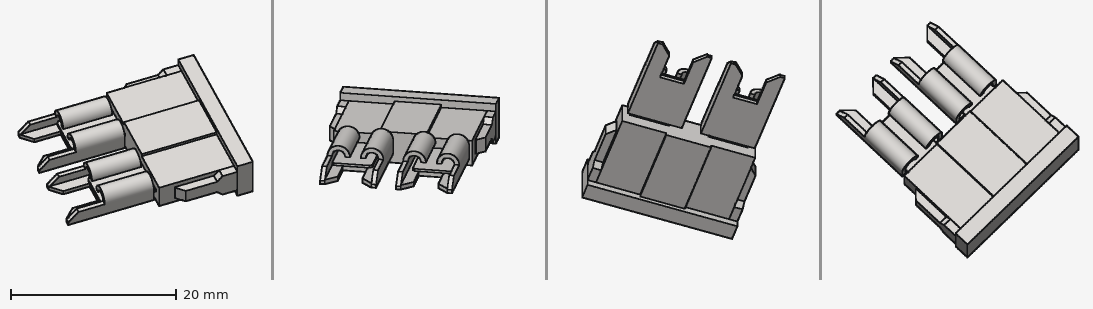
import cadquery as cq


FLANGE_WIDTH = 19.2
FLANGE_HEIGHT = 5.2
FLANGE_DEPTH = 2.03
BODY_WIDTH = 17.03
BODY_HEIGHT = 3.25
BODY_DEPTH = 9.77
BAND_WIDTH = 5.75
BAND_HEIGHT = 4

LATCH_WIDTH = (FLANGE_WIDTH - BODY_WIDTH) / 2
LATCH_LENGTH = 7.72
LATCH_ROOT_LENGTH = 1.93
LATCH_ARM_HEIGHT = 1.84
LATCH_BEVEL = (BODY_HEIGHT - LATCH_ARM_HEIGHT) / 2
LATCH_TIP_WIDTH = 0.1
LATCH_CHAMFER = LATCH_WIDTH - LATCH_TIP_WIDTH

OVERALL_LENGTH = 23.55
TERMINAL_GAP = 0.6
TERMINAL_WIDTH = 6.9
TERMINAL_X = (-4.55, 4.8)
SHEET = 0.6
WALL_HEIGHT = 1.8
CURL_RADIUS = 1.4
CURL_LENGTH = 6.38
PRONG_WIDTH = 1.93
PRONG_CHAMFER = PRONG_WIDTH - SHEET

TERMINAL_BACK_Y = -(BODY_DEPTH + TERMINAL_GAP)
TERMINAL_TIP_Y = FLANGE_DEPTH - OVERALL_LENGTH
CURL_END_Y = TERMINAL_BACK_Y - CURL_LENGTH
WALL_TOP_Z = FLANGE_HEIGHT / 2 - CURL_RADIUS
TERMINAL_BOTTOM_Z = WALL_TOP_Z - WALL_HEIGHT

BLADE_SPACING = 10.03
BLADE_X = (-BLADE_SPACING / 2, BLADE_SPACING / 2)
BLADE_WIDTH = 5.05
BLADE_THICKNESS = 0.3
BLADE_CHAMFER = 0.3


def block(x_range, y_range, z_range):
    """Box between the given limits on each axis."""
    sizes = [high - low for low, high in (x_range, y_range, z_range)]
    corner = (x_range[0], y_range[0], z_range[0])
    return cq.Workplane("XY").box(*sizes, centered=False).translate(corner)


def centred(size):
    """Limits of a length centred on zero."""
    return (-size / 2, size / 2)


def make_housing():
    """Flange with a solid body whose middle band is raised above and below."""
    flange = block(centred(FLANGE_WIDTH), (0, FLANGE_DEPTH), centred(FLANGE_HEIGHT))
    body = block(centred(BODY_WIDTH), (-BODY_DEPTH, 0), centred(BODY_HEIGHT))
    band = block(centred(BAND_WIDTH), (-BODY_DEPTH, 0), centred(BAND_HEIGHT))
    return flange.union(body).union(band)


def make_latch(side):
    """Latch arm with a tall root and a chamfered tip; side is -1 or +1 along X."""
    arm_start = LATCH_ROOT_LENGTH + LATCH_BEVEL
    half_root = BODY_HEIGHT / 2
    half_arm = LATCH_ARM_HEIGHT / 2
    inner_x = BODY_WIDTH / 2
    outer_x = FLANGE_WIDTH / 2
    upper_edge = [
        (0, half_root),
        (-LATCH_ROOT_LENGTH, half_root),
        (-arm_start, half_arm),
        (-LATCH_LENGTH, half_arm),
    ]
    lower_edge = [(y, -z) for y, z in reversed(upper_edge)]
    latch = (
        cq.Workplane("YZ", origin=(inner_x, 0, 0))
        .polyline(upper_edge + lower_edge)
        .close()
        .extrude(LATCH_WIDTH)
    )
    tip_waste = (
        cq.Workplane("XY", origin=(0, 0, -half_root))
        .polyline([
            (outer_x, -LATCH_LENGTH),
            (outer_x, -LATCH_LENGTH + LATCH_CHAMFER),
            (outer_x - LATCH_CHAMFER, -LATCH_LENGTH),
        ])
        .close()
        .extrude(BODY_HEIGHT)
    )
    latch = latch.cut(tip_waste)
    return latch if side > 0 else latch.mirror("YZ")


def make_blade(center_x):
    """Flat contact blade with its two front corners chamfered, lying on the terminal floor."""
    floor_top = TERMINAL_BOTTOM_Z + SHEET
    blade = block(
        (center_x - BLADE_WIDTH / 2, center_x + BLADE_WIDTH / 2),
        (CURL_END_Y, -BODY_DEPTH),
        (floor_top, floor_top + BLADE_THICKNESS),
    )
    return blade.faces("<Y").edges("|Z").chamfer(BLADE_CHAMFER)


def make_terminal_floor():
    """Floor between the walls, splitting into two prongs with chamfered tips, centred on X."""
    prong_x = TERMINAL_WIDTH / 2 - PRONG_WIDTH
    wall_x = TERMINAL_WIDTH / 2 - SHEET
    right_edge = [
        (prong_x, CURL_END_Y),
        (prong_x, TERMINAL_TIP_Y + PRONG_CHAMFER),
        (wall_x, TERMINAL_TIP_Y),
        (wall_x, TERMINAL_BACK_Y),
    ]
    left_edge = [(-x, y) for x, y in reversed(right_edge)]
    return (
        cq.Workplane("XY", origin=(0, 0, TERMINAL_BOTTOM_Z))
        .polyline(right_edge + left_edge)
        .close()
        .extrude(SHEET)
    )


def make_terminal_wall():
    """Wall along the -X side of the floor, sloping down at the prong tip."""
    return (
        cq.Workplane("YZ", origin=(-TERMINAL_WIDTH / 2, 0, 0))
        .polyline([
            (TERMINAL_BACK_Y, TERMINAL_BOTTOM_Z),
            (TERMINAL_BACK_Y, WALL_TOP_Z),
            (TERMINAL_TIP_Y + PRONG_CHAMFER, WALL_TOP_Z),
            (TERMINAL_TIP_Y, WALL_TOP_Z - PRONG_CHAMFER),
            (TERMINAL_TIP_Y, TERMINAL_BOTTOM_Z),
        ])
        .close()
        .extrude(SHEET)
    )


def make_curl():
    """Half-round curl that continues the -X wall upward and inward."""
    outer_x = -TERMINAL_WIDTH / 2
    inner_radius = CURL_RADIUS - SHEET
    curl_x = outer_x + CURL_RADIUS
    return (
        cq.Workplane("XZ", origin=(0, TERMINAL_BACK_Y, 0))
        .moveTo(outer_x, WALL_TOP_Z)
        .threePointArc((curl_x, WALL_TOP_Z + CURL_RADIUS), (curl_x + CURL_RADIUS, WALL_TOP_Z))
        .lineTo(curl_x + inner_radius, WALL_TOP_Z)
        .threePointArc((curl_x, WALL_TOP_Z + inner_radius), (curl_x - inner_radius, WALL_TOP_Z))
        .close()
        .extrude(CURL_LENGTH)
    )


def make_terminal(center_x, blade):
    """Spring terminal with mirrored side walls and curls, recessed where the blade enters a wall."""
    side = make_terminal_wall().union(make_curl())
    terminal = make_terminal_floor().union(side).union(side.mirror("YZ"))
    return terminal.translate((center_x, 0, 0)).cut(blade)


housing = make_housing()
latches = [make_latch(side) for side in (-1, 1)]
blades = [make_blade(x) for x in BLADE_X]
terminals = [make_terminal(x, blade) for x, blade in zip(TERMINAL_X, blades)]

bodies = [housing] + latches + blades + terminals
result = cq.Compound.makeCompound([body.solids().val() for body in bodies])